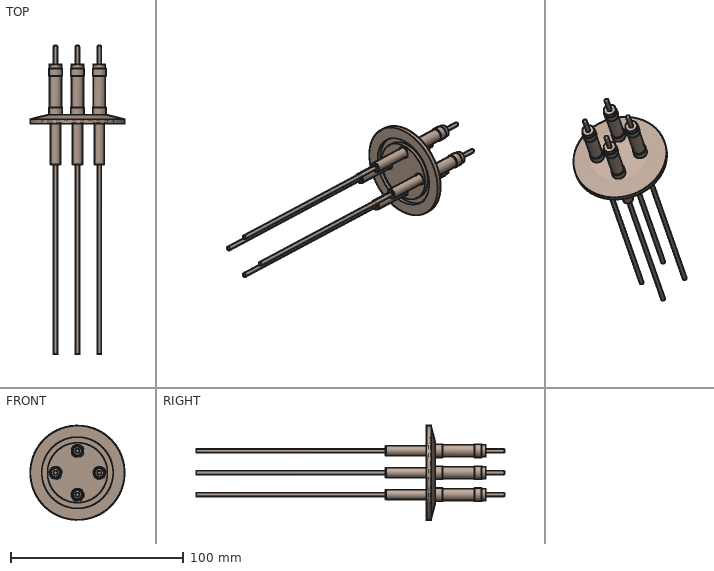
import cadquery as cq
import math

FLANGE_RADIUS = 54.86 / 2
FLANGE_THICKNESS = 5.25
RIM_THICKNESS = 2.7
CLAMP_ANGLE = 14.0

GROOVE_INNER_RADIUS = 17.4
GROOVE_OUTER_RADIUS = 20.7
GROOVE_DEPTH = 2.3

FEEDTHROUGH_COUNT = 4
FEEDTHROUGH_PITCH_RADIUS = 12.7
PIN_RADIUS = 1.2
PIN_TIP_FILLET = 1.1
PIN_BACK = 45.5
OVERALL_LENGTH = 179.07
PIN_FRONT = PIN_BACK - OVERALL_LENGTH

FRONT_SLEEVE_RADIUS = 2.95
FRONT_SLEEVE_LENGTH = 23.8
FRONT_SLEEVE_CHAMFER = 0.4

RELIEF_RADIUS = 3.45
RELIEF_DEPTH = 1.0

BACK_SLEEVE_RADIUS = 3.55
BACK_SLEEVE_END = 34.5
COLLAR_RADIUS = 3.9
COLLAR_CHAMFER = 0.3
BASE_COLLAR_END = 9.6
END_COLLAR_START = 27.6
END_COLLAR_END = 32.2


def cylinder(radius, start, end):
    """Cylinder along Y between two Y positions."""
    circle = cq.Workplane("XZ", origin=(0, start, 0)).circle(radius)
    return circle.extrude(start - end)


def make_flange():
    """Clamp flange with a conical back and the grooved sealing face."""
    cone_height = FLANGE_THICKNESS - RIM_THICKNESS
    cone_top_radius = FLANGE_RADIUS - cone_height / math.tan(math.radians(CLAMP_ANGLE))
    profile = (
        cq.Workplane("XY")
        .moveTo(0, 0)
        .lineTo(GROOVE_INNER_RADIUS, 0)
        .lineTo(GROOVE_INNER_RADIUS, GROOVE_DEPTH)
        .lineTo(GROOVE_OUTER_RADIUS, GROOVE_DEPTH)
        .lineTo(GROOVE_OUTER_RADIUS, 0)
        .lineTo(FLANGE_RADIUS, 0)
        .lineTo(FLANGE_RADIUS, RIM_THICKNESS)
        .lineTo(cone_top_radius, FLANGE_THICKNESS)
        .lineTo(0, FLANGE_THICKNESS)
        .close()
    )
    return profile.revolve(360, (0, 0, 0), (0, 1, 0))


def make_feedthrough():
    """One complete feedthrough, centred on the Y axis."""
    pin = cylinder(PIN_RADIUS, PIN_FRONT, PIN_BACK).faces(">Y").fillet(PIN_TIP_FILLET)
    front_sleeve = cylinder(FRONT_SLEEVE_RADIUS, -FRONT_SLEEVE_LENGTH, FLANGE_THICKNESS)
    front_sleeve = front_sleeve.faces("<Y").chamfer(FRONT_SLEEVE_CHAMFER)
    back_sleeve = cylinder(BACK_SLEEVE_RADIUS, FLANGE_THICKNESS, BACK_SLEEVE_END)
    base_collar = cylinder(COLLAR_RADIUS, FLANGE_THICKNESS, BASE_COLLAR_END)
    base_collar = base_collar.faces(">Y").chamfer(COLLAR_CHAMFER)
    end_collar = cylinder(COLLAR_RADIUS, END_COLLAR_START, END_COLLAR_END)
    end_collar = end_collar.edges().chamfer(COLLAR_CHAMFER)
    return front_sleeve.union(back_sleeve).union(base_collar).union(end_collar).union(pin)


def place_around(body, index):
    """Move a body made on the Y axis to one of the feedthrough positions."""
    angle = index * 360 / FEEDTHROUGH_COUNT
    return body.translate((FEEDTHROUGH_PITCH_RADIUS, 0, 0)).rotate((0, 0, 0), (0, 1, 0), angle)


result = make_flange()
feedthrough = make_feedthrough()
relief = cylinder(RELIEF_RADIUS, 0, RELIEF_DEPTH)
for index in range(FEEDTHROUGH_COUNT):
    result = result.cut(place_around(relief, index))
    result = result.union(place_around(feedthrough, index))